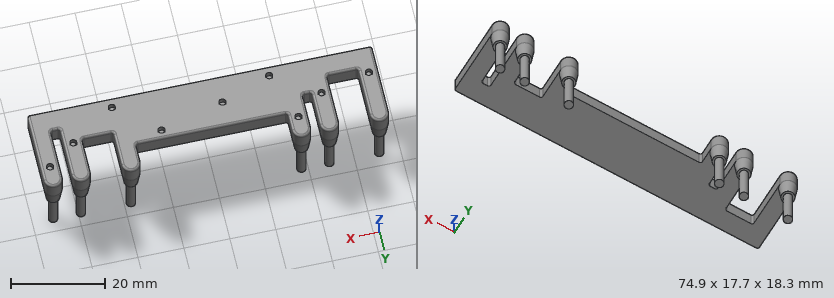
import cadquery as cq

length = 74.9
depth = 17.7
thickness = 4.35
edge_radius = 0.5

finger_width = 4.0
finger_radius = finger_width / 2
finger_offsets = (0.0, 10.85, 16.9)
group_pitch = length - finger_width - finger_offsets[-1]
finger_xs = [
    finger_radius + group * group_pitch + offset
    for group in range(2)
    for offset in finger_offsets
]
tip_y = depth - finger_radius

outer_floor_y = 4.5
inner_floor_y = 7.8
middle_floor_y = 11.5
gap_floor_ys = (outer_floor_y, inner_floor_y, middle_floor_y, inner_floor_y, outer_floor_y)

collar_top_diameter = finger_width
collar_bottom_diameter = 3.0
collar_height = 4.0
pin_diameter = 2.0
pin_length = 9.95

sight_diameter = 1.5
conductor_diameter = pin_diameter
conductor_z = thickness / 2
front_conductor_y = 1.95
middle_conductor_y = 5.9
back_conductor_y = 9.6
finger_sight_points = [
    (finger_xs[0], 5.85),
    (finger_xs[1], 8.4),
    (finger_xs[2], 12.9),
    (finger_xs[4], 8.4),
    (finger_xs[5], 12.9),
]
body_sight_points = [
    (22.8, front_conductor_y),
    (57.0, front_conductor_y),
    (33.85, middle_conductor_y),
    (47.9, back_conductor_y),
]


def make_plate():
    """Comb-shaped plate with round finger tips and top edges rounded all along except at the front."""
    outline = cq.Workplane("XY").lineTo(0, tip_y)
    for index, x in enumerate(finger_xs):
        left = x - finger_radius
        right = x + finger_radius
        outline = outline.threePointArc((x, depth), (right, tip_y))
        if index < len(gap_floor_ys):
            floor_y = gap_floor_ys[index]
            next_left = finger_xs[index + 1] - finger_radius
            outline = outline.lineTo(right, floor_y).lineTo(next_left, floor_y).lineTo(next_left, tip_y)
    plate = outline.lineTo(length, 0).close().extrude(thickness)

    floor_corners = cq.selectors.BoxSelector(
        (0, outer_floor_y / 2, 0), (length, (middle_floor_y + tip_y) / 2, thickness)
    )
    plate = plate.edges("|Z").edges(floor_corners).fillet(edge_radius)
    plate = plate.faces(">Z").edges("not <Y").fillet(edge_radius)

    rounded_ends = (
        cq.Workplane("XY")
        .rect(length, depth, centered=(False, False))
        .extrude(thickness)
        .edges("|Z and <Y")
        .fillet(edge_radius)
    )
    return plate.intersect(rounded_ends)


def make_contact(x):
    """Tapered collar and pin hanging from the underside of a finger tip."""
    collar = (
        cq.Workplane("XY")
        .center(x, tip_y)
        .circle(collar_top_diameter / 2)
        .workplane(offset=-collar_height)
        .circle(collar_bottom_diameter / 2)
        .loft()
    )
    pin = (
        cq.Workplane("XY", origin=(x, tip_y, -collar_height))
        .circle(pin_diameter / 2)
        .extrude(-pin_length)
    )
    return collar.union(pin)


def make_sight_hole(x, y, conductor_plane):
    """Blind hole whose floor is the convex top of a conductor normal to conductor_plane."""
    hole = (
        cq.Workplane("XY", origin=(x, y, conductor_z))
        .circle(sight_diameter / 2)
        .extrude(thickness - conductor_z)
    )
    conductor = (
        cq.Workplane(conductor_plane, origin=(x, y, conductor_z))
        .circle(conductor_diameter / 2)
        .extrude(sight_diameter, both=True)
    )
    return hole.cut(conductor)


result = make_plate()
for finger_x in finger_xs:
    result = result.union(make_contact(finger_x))
for hole_x, hole_y in finger_sight_points:
    result = result.cut(make_sight_hole(hole_x, hole_y, "XZ"))
for hole_x, hole_y in body_sight_points:
    result = result.cut(make_sight_hole(hole_x, hole_y, "YZ"))